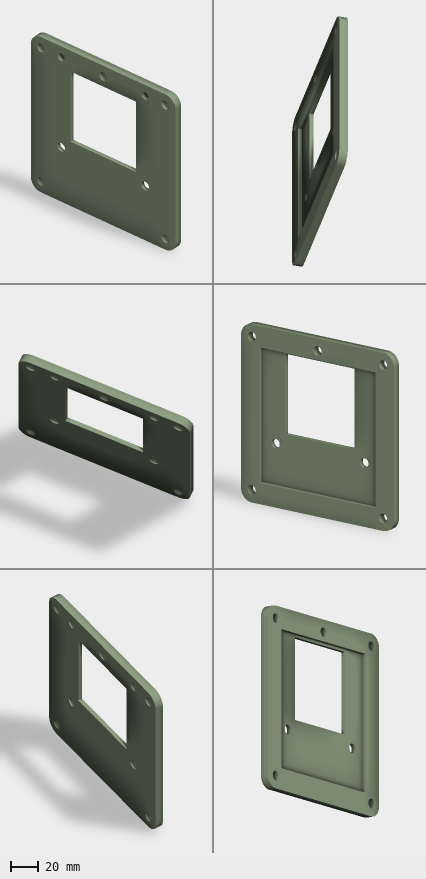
import cadquery as cq

side = 136.5
stack_depth = 6.4
plate_thickness = stack_depth / 2
corner_radius = 9.5

fixing_offset = 58.7
fixing_diameter = 7.2

pattern_pitch = 79.2
pattern_half = pattern_pitch / 2
pattern_top = fixing_offset
pattern_bottom = pattern_top - pattern_pitch
upper_hole_diameter = 6.4
lower_hole_diameter = 7.2

window_side = 61.7
window_center = (pattern_top + pattern_bottom) / 2

frame_width = 16.4
opening_side = side - 2 * frame_width

fixing_points = [
    (-fixing_offset, -fixing_offset),
    (fixing_offset, -fixing_offset),
    (-fixing_offset, fixing_offset),
    (0, fixing_offset),
    (fixing_offset, fixing_offset),
]


def drill(plate, points, diameter):
    """Cut holes through the plate along Y at the given (X, Z) points."""
    cutter = (
        cq.Workplane("XZ").pushPoints(points).circle(diameter / 2)
        .extrude(stack_depth, both=True)
    )
    return plate.cut(cutter)


def cut_square(plate, square_side, center_z):
    """Cut a square opening through the plate along Y."""
    cutter = (
        cq.Workplane("XZ").center(0, center_z).rect(square_side, square_side)
        .extrude(stack_depth, both=True)
    )
    return plate.cut(cutter)


def make_blank(front_y):
    """Rounded square plate from front_y toward +Y, with the fixing holes."""
    blank = (
        cq.Workplane("XZ", origin=(0, front_y, 0))
        .rect(side, side)
        .extrude(-plate_thickness)
        .edges("|Y")
        .fillet(corner_radius)
    )
    return drill(blank, fixing_points, fixing_diameter)


def make_front_plate():
    plate = make_blank(-plate_thickness)
    plate = cut_square(plate, window_side, window_center)
    upper_points = [(-pattern_half, pattern_top), (pattern_half, pattern_top)]
    lower_points = [(-pattern_half, pattern_bottom), (pattern_half, pattern_bottom)]
    plate = drill(plate, upper_points, upper_hole_diameter)
    return drill(plate, lower_points, lower_hole_diameter)


def make_back_frame():
    return cut_square(make_blank(0), opening_side, 0)


front_plate = make_front_plate()
back_frame = make_back_frame()

result = cq.Compound.makeCompound([front_plate.val(), back_frame.val()])